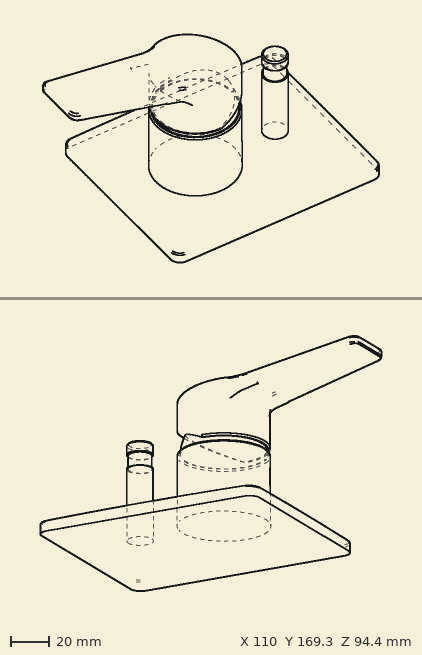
import cadquery as cq
import math


PLATE_WIDTH = 110.0
PLATE_LENGTH = 130.0
PLATE_CENTRE_Y = 17.0
PLATE_CORNER_RADIUS = 6.0
PLATE_HEIGHT = 7.1
PLATE_DOME_RADIUS = 3000.0
PLATE_EDGE_RADIUS = 0.8

BODY_TOP_RADIUS = 24.45
BODY_BASE_RADIUS = 24.7
BODY_TOP_Z = 46.6
BODY_CHAMFER = 0.9

BALL_RADIUS = 22.9
BALL_CENTRE_Z = 46.0

LEVER_RADIUS = 24.4
LEVER_BOTTOM_Z = 49.2
LEVER_BACK_BOTTOM_Z = 59.8
LEVER_BACK_TOP_Z = 74.84
LEVER_TOP_SLOPE = 10.0
OVERALL_LENGTH = 169.34
LEVER_TIP_Y = PLATE_CENTRE_Y + PLATE_LENGTH / 2 - OVERALL_LENGTH
LEVER_TIP_HALF_WIDTH = 16.0
LEVER_TIP_CORNER_RADIUS = 4.5
LEVER_SIDE_TAPER = 1.3
NECK_OVERLAP = 0.02
NECK_RADIUS = 19.0
ARM_UNDERSIDE_SLOPE = 14.0
ARM_UNDERSIDE_TIP_Z = 90.3
LEVER_EDGE_RADIUS = 1.0
ARM_ROOT_RADIUS = 4.0
ARM_ROOT_END_Y = -29.5
ARM_UNDERSIDE_EDGE_RADIUS = 0.8
LEVER_PRISM_HEIGHT = 120.0

PIN_Y = 50.0
PIN_RADIUS = 7.0
PIN_NECK_RADIUS = 6.25
PIN_SHOULDER_Z = 46.6
PIN_KNOB_Z = 54.0
PIN_TOP_Z = 60.3
PIN_CHAMFER = 0.9
PIN_BEVEL = 0.5
PIN_DISH_DEPTH = 1.0


def make_plate():
    """Rounded rectangular plate whose top is part of a large sphere."""
    block = (
        cq.Workplane("XY")
        .center(0, PLATE_CENTRE_Y)
        .rect(PLATE_WIDTH, PLATE_LENGTH)
        .extrude(PLATE_HEIGHT)
        .edges("|Z")
        .fillet(PLATE_CORNER_RADIUS)
    )
    reach = math.hypot(PLATE_WIDTH, PLATE_LENGTH)
    sag = PLATE_DOME_RADIUS - math.sqrt(PLATE_DOME_RADIUS**2 - reach**2)
    dome = (
        cq.Workplane("XZ")
        .lineTo(reach, 0)
        .lineTo(reach, PLATE_HEIGHT - sag)
        .radiusArc((0, PLATE_HEIGHT), -PLATE_DOME_RADIUS)
        .close()
        .revolve(360, (0, 0), (0, 1))
        .translate((0, PLATE_CENTRE_Y, 0))
    )
    return block.intersect(dome).faces("%SPHERE").edges().fillet(PLATE_EDGE_RADIUS)


def make_body():
    """Round body with a gently flared foot and a bevelled top edge."""
    return (
        cq.Workplane("XZ")
        .lineTo(BODY_BASE_RADIUS, 0)
        .threePointArc((BODY_TOP_RADIUS, BODY_TOP_Z / 2), (BODY_TOP_RADIUS, BODY_TOP_Z - BODY_CHAMFER))
        .lineTo(BODY_TOP_RADIUS - BODY_CHAMFER, BODY_TOP_Z)
        .lineTo(0, BODY_TOP_Z)
        .close()
        .revolve(360, (0, 0), (0, 1))
    )


def make_ball():
    """Ball cartridge carrying the lever."""
    return cq.Workplane("XY").sphere(BALL_RADIUS).translate((0, 0, BALL_CENTRE_Z))


def lever_top_z(y):
    """Height of the sloping lever top at a given Y."""
    return LEVER_BACK_TOP_Z + (LEVER_RADIUS - y) * math.tan(math.radians(LEVER_TOP_SLOPE))


def arm_underside_z(y):
    """Height of the arm's sloping underside at a given Y."""
    return ARM_UNDERSIDE_TIP_Z - (y - LEVER_TIP_Y) * math.tan(math.radians(ARM_UNDERSIDE_SLOPE))


def make_arm_prism():
    """Upright prism of the arm plan: tapered sides and concave necks running into the hub."""
    taper = math.radians(LEVER_SIDE_TAPER)
    normal = cq.Vector(math.cos(taper), -math.sin(taper))
    along_arm = cq.Vector(math.sin(taper), math.cos(taper))
    tip = cq.Vector(LEVER_TIP_HALF_WIDTH, LEVER_TIP_Y)

    centre_distance = LEVER_RADIUS + NECK_RADIUS - NECK_OVERLAP
    across = tip.dot(normal) + NECK_RADIUS
    along = math.sqrt(centre_distance**2 - across**2)
    neck_centre = normal * across - along_arm * along
    arm_end = neck_centre - normal * NECK_RADIUS
    hub_end = neck_centre.normalized() * (LEVER_RADIUS - NECK_OVERLAP)
    middle_direction = (normal + neck_centre.normalized()).normalized()
    middle = neck_centre - middle_direction * NECK_RADIUS

    def left(point):
        return (-point.x, point.y)

    def right(point):
        return (point.x, point.y)

    prism = (
        cq.Workplane("XY")
        .moveTo(*right(tip))
        .lineTo(*right(arm_end))
        .threePointArc(right(middle), right(hub_end))
        .lineTo(0, 0)
        .lineTo(*left(hub_end))
        .threePointArc(left(middle), left(arm_end))
        .lineTo(*left(tip))
        .close()
        .extrude(LEVER_PRISM_HEIGHT)
    )
    return prism.edges("|Z and <Y").fillet(LEVER_TIP_CORNER_RADIUS)


def side_profile(points):
    """Slab with a Y-Z outline, wide enough to span the lever."""
    return cq.Workplane("YZ").polyline(points).close().extrude(2 * LEVER_RADIUS, both=True)


def make_lever_slab(front, back):
    """Wide wedge between the lever's top plane and the arm's underside plane."""
    return side_profile(
        [
            (front, arm_underside_z(front)),
            (back, arm_underside_z(back)),
            (back, lever_top_z(back)),
            (front, lever_top_z(front)),
        ]
    )


def make_hub():
    """Round hub with a sloping top and a bottom cut away towards the back."""
    reach = 2 * LEVER_RADIUS
    back_rise = (LEVER_BACK_BOTTOM_Z - LEVER_BOTTOM_Z) / LEVER_RADIUS
    profile = side_profile(
        [
            (-reach, LEVER_BOTTOM_Z),
            (0, LEVER_BOTTOM_Z),
            (reach, LEVER_BOTTOM_Z + back_rise * reach),
            (reach, lever_top_z(reach)),
            (-reach, lever_top_z(-reach)),
        ]
    )
    return cq.Workplane("XY").circle(LEVER_RADIUS).extrude(LEVER_PRISM_HEIGHT).intersect(profile)


def make_arm_root(hub, arm_prism):
    """Inner end of the arm, blended into the hub by a round below it."""
    slab = make_lever_slab(ARM_ROOT_END_Y, 2 * LEVER_RADIUS)
    root_centre = (0, 0, arm_underside_z(0))
    root_edge = hub.union(slab).edges(cq.selectors.NearestToPointSelector(root_centre))
    return root_edge.fillet(ARM_ROOT_RADIUS).intersect(arm_prism)


def make_arm_blade(arm_prism):
    """Free end of the arm with rounded underside edges."""
    blade = arm_prism.intersect(make_lever_slab(LEVER_TIP_Y, ARM_ROOT_END_Y))
    middle_y = (LEVER_TIP_Y + ARM_ROOT_END_Y) / 2
    underside_point = (0, middle_y, arm_underside_z(middle_y))
    underside = blade.faces(cq.selectors.NearestToPointSelector(underside_point))
    return underside.edges("not >Y").fillet(ARM_UNDERSIDE_EDGE_RADIUS)


def make_lever():
    """Sloping lever: hub, blended arm root and arm blade with one rounded top edge."""
    hub = make_hub()
    arm_prism = make_arm_prism()
    lever = hub.union(make_arm_root(hub, arm_prism)).union(make_arm_blade(arm_prism)).clean()
    top_point = (0, 0, lever_top_z(0))
    top_face = lever.faces(cq.selectors.NearestToPointSelector(top_point))
    return top_face.edges().fillet(LEVER_EDGE_RADIUS)


def make_pin():
    """Diverter pin with a narrow neck, a bevelled knob and a dished top."""
    rim = PIN_RADIUS - PIN_CHAMFER
    dish_radius = (rim**2 + PIN_DISH_DEPTH**2) / (2 * PIN_DISH_DEPTH)
    return (
        cq.Workplane("XZ")
        .lineTo(PIN_RADIUS, 0)
        .lineTo(PIN_RADIUS, PIN_SHOULDER_Z)
        .lineTo(PIN_NECK_RADIUS, PIN_SHOULDER_Z)
        .lineTo(PIN_NECK_RADIUS, PIN_KNOB_Z)
        .lineTo(PIN_RADIUS - PIN_BEVEL, PIN_KNOB_Z)
        .lineTo(PIN_RADIUS, PIN_KNOB_Z + PIN_BEVEL)
        .lineTo(PIN_RADIUS, PIN_TOP_Z - PIN_CHAMFER)
        .lineTo(rim, PIN_TOP_Z)
        .radiusArc((0, PIN_TOP_Z - PIN_DISH_DEPTH), dish_radius)
        .close()
        .revolve(360, (0, 0), (0, 1))
        .translate((0, PIN_Y, 0))
    )


result = make_plate().union(make_body()).union(make_ball()).union(make_pin()).union(make_lever())